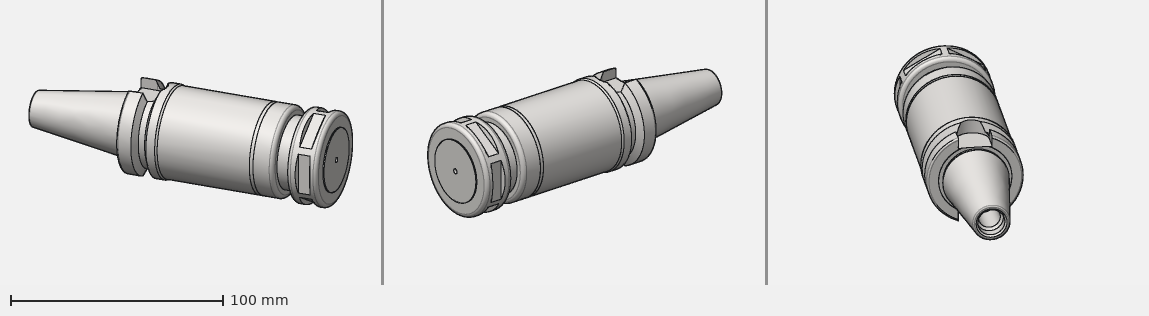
import cadquery as cq
import math

TOTAL_LENGTH = 153.4
CUT_MARGIN = 1.5

TAPER_RATIO = 7 / 24
GAUGE_DIAMETER = 31.8
TAPER_LENGTH = 48.3
TIP_ROUNDING = 0.8
RELIEF_DIAMETER = 30.8
RELIEF_CONE_LENGTH = 1.0

FLANGE_START = 50.5
FLANGE_DIAMETER = 46.0
FLANGE_ROUNDING = 0.9
FACE_RECESS_DIAMETER = 35.0
FACE_RECESS_DEPTH = 0.3
GROOVE_START = 58.0
GROOVE_END = 65.7
GROOVE_DIAMETER = 38.4
GROOVE_WALL_ANGLE = 30.0
FLANGE_END = 70.1
SLOT_WIDTH = 16.1
SLOT_END = 67.0
SLOT_FLOOR_HEIGHT = 16.3

BODY_START = 71.2
BODY_DIAMETER = 45.0
BODY_END = 130.4
BODY_ROUNDING = 2.1
BAND_START = 118.1
BAND_WIDTH = 1.8
BAND_DEPTH = 0.08
NECK_DIAMETER = 35.9

NUT_START = 137.3
NUT_END = 152.8
NUT_DIAMETER = 46.3
NUT_ROUNDING = 2.0
NUT_FACE_DIAMETER = 31.3
POCKET_COUNT = 6
POCKET_CENTER = 145.4
POCKET_FLOOR_RADIUS = 20.9
POCKET_FLOOR_LENGTH = 6.0
POCKET_WALL_ANGLE = 17.0

MOUTH_DIAMETER = 14.7
PILOT_DIAMETER = 12.9
PILOT_END = 5.5
THREAD_DIAMETER = 10.5
THREAD_END = 24.0
DRILL_DIAMETER = 9.0
DRILL_END = 34.0
COOLANT_DIAMETER = 2.5


def turned(points):
    """Solid of revolution about X of a closed outline given as (x, radius) points."""
    return cq.Workplane("XY").polyline(points).close().revolve(360, (0, 0, 0), (1, 0, 0))


def bar(start, end, diameter):
    """Cylinder along X between two stations."""
    return cq.Workplane("YZ", origin=(start, 0, 0)).circle(diameter / 2).extrude(end - start)


def make_shank():
    tip_radius = (GAUGE_DIAMETER - TAPER_LENGTH * TAPER_RATIO) / 2
    relief_radius = RELIEF_DIAMETER / 2
    taper = turned([
        (0, 0),
        (0, tip_radius),
        (TAPER_LENGTH, GAUGE_DIAMETER / 2),
        (TAPER_LENGTH + RELIEF_CONE_LENGTH, relief_radius),
        (GROOVE_START, relief_radius),
        (GROOVE_START, 0),
    ])
    return taper.faces("<X").edges().fillet(TIP_ROUNDING)


def make_flange():
    flange_radius = FLANGE_DIAMETER / 2
    groove_radius = GROOVE_DIAMETER / 2
    wall_run = (flange_radius - groove_radius) * math.tan(math.radians(GROOVE_WALL_ANGLE))
    flange = turned([
        (FLANGE_START, 0),
        (FLANGE_START, flange_radius),
        (GROOVE_START, flange_radius),
        (GROOVE_START + wall_run, groove_radius),
        (GROOVE_END - wall_run, groove_radius),
        (GROOVE_END, flange_radius),
        (FLANGE_END, flange_radius),
        (BODY_START, BODY_DIAMETER / 2),
        (BODY_START, 0),
    ])
    flange = flange.faces("<X").edges().fillet(FLANGE_ROUNDING)
    return flange.cut(bar(FLANGE_START, FLANGE_START + FACE_RECESS_DEPTH, FACE_RECESS_DIAMETER))


def make_driving_slots():
    """Round-ended cutters above and below the axis."""
    half_width = SLOT_WIDTH / 2
    slot_height = FLANGE_DIAMETER / 2 - SLOT_FLOOR_HEIGHT + CUT_MARGIN
    upper_slot = (
        cq.Workplane("XY", origin=(0, 0, SLOT_FLOOR_HEIGHT))
        .moveTo(FLANGE_START, -half_width)
        .lineTo(SLOT_END - half_width, -half_width)
        .threePointArc((SLOT_END, 0), (SLOT_END - half_width, half_width))
        .lineTo(FLANGE_START, half_width)
        .close()
        .extrude(slot_height)
    )
    return upper_slot.union(upper_slot.mirror("XY"))


def make_body():
    body = bar(BODY_START, BODY_END, BODY_DIAMETER)
    body = body.faces(">X").edges().fillet(BODY_ROUNDING)
    band_end = BAND_START + BAND_WIDTH
    band = bar(BAND_START, band_end, BODY_DIAMETER).cut(
        bar(BAND_START, band_end, BODY_DIAMETER - 2 * BAND_DEPTH)
    )
    return body.cut(band).union(bar(BODY_END, NUT_START, NECK_DIAMETER))


def make_pocket():
    """Cutter for the pocket facing -Y, widening outwards along X."""
    outer_radius = NUT_DIAMETER / 2 + CUT_MARGIN
    half_floor = POCKET_FLOOR_LENGTH / 2
    wall_run = (outer_radius - POCKET_FLOOR_RADIUS) * math.tan(math.radians(POCKET_WALL_ANGLE))
    half_opening = half_floor + wall_run
    return (
        cq.Workplane("XY")
        .polyline([
            (POCKET_CENTER - half_floor, -POCKET_FLOOR_RADIUS),
            (POCKET_CENTER + half_floor, -POCKET_FLOOR_RADIUS),
            (POCKET_CENTER + half_opening, -outer_radius),
            (POCKET_CENTER - half_opening, -outer_radius),
        ])
        .close()
        .extrude(NUT_DIAMETER / 2, both=True)
    )


def make_nut():
    nut = bar(NUT_START, NUT_END, NUT_DIAMETER)
    nut = nut.faces("<X or >X").edges().fillet(NUT_ROUNDING)
    pocket = make_pocket()
    for index in range(POCKET_COUNT):
        angle = index * 360 / POCKET_COUNT
        nut = nut.cut(pocket.rotate((0, 0, 0), (1, 0, 0), angle))
    return nut.union(bar(NUT_END, TOTAL_LENGTH, NUT_FACE_DIAMETER))


def make_bore():
    mouth_depth = (MOUTH_DIAMETER - PILOT_DIAMETER) / 2
    step_depth = (PILOT_DIAMETER - THREAD_DIAMETER) / 2
    return turned([
        (0, 0),
        (0, MOUTH_DIAMETER / 2),
        (mouth_depth, PILOT_DIAMETER / 2),
        (PILOT_END, PILOT_DIAMETER / 2),
        (PILOT_END + step_depth, THREAD_DIAMETER / 2),
        (THREAD_END, THREAD_DIAMETER / 2),
        (THREAD_END, DRILL_DIAMETER / 2),
        (DRILL_END, DRILL_DIAMETER / 2),
        (DRILL_END, COOLANT_DIAMETER / 2),
        (TOTAL_LENGTH, COOLANT_DIAMETER / 2),
        (TOTAL_LENGTH, 0),
    ])


result = (
    make_flange()
    .union(make_shank())
    .cut(make_driving_slots())
    .union(make_body())
    .union(make_nut())
    .cut(make_bore())
)